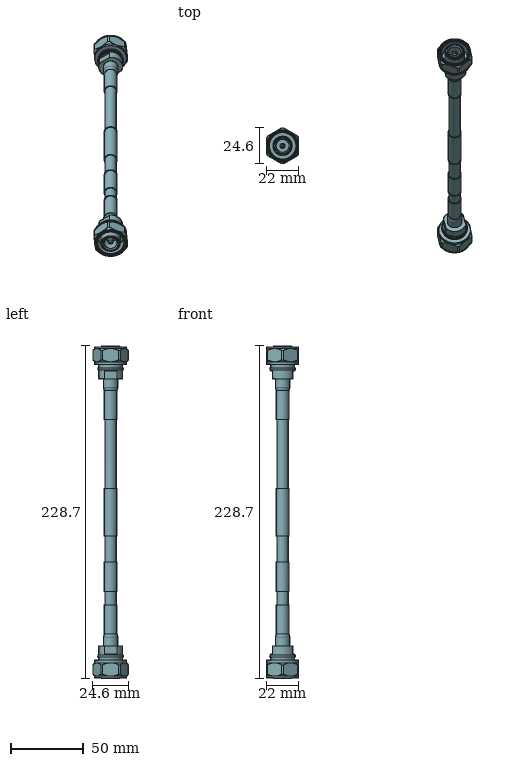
import cadquery as cq
import math

TOTAL_LENGTH = 228.7
HALF_LENGTH = TOTAL_LENGTH / 2

NUT_ACROSS_FLATS = 22.0
CORNER_TRIM = 0.4
NUT_CORNER_DIAMETER = NUT_ACROSS_FLATS / math.cos(math.pi / 6) - 2 * CORNER_TRIM
NUT_FRONT_DEPTH = 0.5
FRONT_BEVEL_DEPTH = 1.5
BACK_BEVEL_DEPTH = 10.7
NUT_BACK_DEPTH = 12.5
BEVEL_WIDTH = (NUT_CORNER_DIAMETER - NUT_ACROSS_FLATS) / 2

SOCKET_DIAMETER = 18.3
SOCKET_DEPTH = 9.1
MOUTH_CHAMFER = 0.5
MOUTH_DIAMETER = 19.7
MOUTH_DEPTH = 1.4

RING_OUTER_DIAMETER = 13.3
RING_INNER_DIAMETER = 9.0
RING_OUTER_CHAMFER = 0.5
RING_INNER_CHAMFER = 1.0
PIN_DIAMETER = 3.5
PIN_TIP_DEPTH = 1.4
PIN_CHAMFER = 1.0

BODY_DIAMETER = 16.5
FLANGE_FRONT_DIAMETER = 17.8
FLANGE_BACK_DIAMETER = 17.4
FLANGE_FRONT_DEPTH = 14.9
FLANGE_BACK_DEPTH = 16.2
FLATS_DEPTH = 17.0
BODY_ACROSS_FLATS = 14.0
BODY_BACK_DEPTH = 22.5

FERRULE_DIAMETER = 10.0
TAPER_DEPTH = 28.5
BOOT_DEPTH = 30.6
BOOT_BACK_DEPTH = 50.5

CABLE_DIAMETER = 8.0
SLEEVE_DIAMETER = 9.0
LABEL_LENGTH = 32.5
MARKER_TOP = -34.0
MARKER_LENGTH = 20.5


def cylinder(diameter, bottom, top):
    """Cylinder on the Z axis between two heights."""
    return cq.Workplane("XY", origin=(0, 0, bottom)).circle(diameter / 2).extrude(top - bottom)


def height(depth):
    """Height of a point that lies the given depth below the tip of the upper connector."""
    return HALF_LENGTH - depth


def turned(stations):
    """Solid of revolution about Z through (diameter, depth) stations."""
    outline = [(diameter / 2, height(depth)) for diameter, depth in stations]
    axis_ends = [(0, outline[-1][1]), (0, outline[0][1])]
    return cq.Workplane("XZ").polyline(outline + axis_ends).close().revolve(360, (0, 0), (0, 1))


def coupling_nut():
    """Hexagon with a corner on the Y axis, bevelled at both ends to a round collar."""
    envelope = turned([
        (NUT_ACROSS_FLATS, NUT_FRONT_DEPTH),
        (NUT_ACROSS_FLATS, FRONT_BEVEL_DEPTH),
        (NUT_CORNER_DIAMETER, FRONT_BEVEL_DEPTH + BEVEL_WIDTH),
        (NUT_CORNER_DIAMETER, BACK_BEVEL_DEPTH - BEVEL_WIDTH),
        (NUT_ACROSS_FLATS, BACK_BEVEL_DEPTH),
        (NUT_ACROSS_FLATS, NUT_BACK_DEPTH),
    ])
    hexagon = (
        cq.Workplane("XY", origin=(0, 0, height(NUT_BACK_DEPTH)))
        .polygon(6, NUT_ACROSS_FLATS / math.cos(math.pi / 6))
        .extrude(NUT_BACK_DEPTH - NUT_FRONT_DEPTH)
        .rotate((0, 0, 0), (0, 0, 1), 90)
    )
    return envelope.intersect(hexagon)


def socket():
    """Space inside the nut, with a wider, chamfered mouth."""
    return turned([
        (MOUTH_DIAMETER + 2 * MOUTH_CHAMFER, NUT_FRONT_DEPTH),
        (MOUTH_DIAMETER, NUT_FRONT_DEPTH + MOUTH_CHAMFER),
        (MOUTH_DIAMETER, MOUTH_DEPTH),
        (SOCKET_DIAMETER, MOUTH_DEPTH),
        (SOCKET_DIAMETER, SOCKET_DEPTH),
    ])


def contact_ring():
    """Hollow contact with its tip bevelled inside and outside."""
    ring = turned([
        (RING_OUTER_DIAMETER - 2 * RING_OUTER_CHAMFER, 0),
        (RING_OUTER_DIAMETER, RING_OUTER_CHAMFER),
        (RING_OUTER_DIAMETER, SOCKET_DEPTH),
    ])
    bore = turned([
        (RING_INNER_DIAMETER + 2 * RING_INNER_CHAMFER, 0),
        (RING_INNER_DIAMETER, RING_INNER_CHAMFER),
        (RING_INNER_DIAMETER, SOCKET_DEPTH),
    ])
    return ring.cut(bore)


def centre_pin():
    """Pin with a bevelled tip, set back from the tip of the contact ring."""
    pin = cylinder(PIN_DIAMETER, height(SOCKET_DEPTH), height(PIN_TIP_DEPTH))
    return pin.faces(">Z").chamfer(PIN_CHAMFER)


def body_with_flats():
    """Flanged round body with two flats facing -X and +X."""
    body = turned([
        (BODY_DIAMETER, NUT_BACK_DEPTH),
        (BODY_DIAMETER, FLANGE_FRONT_DEPTH),
        (FLANGE_FRONT_DIAMETER, FLANGE_FRONT_DEPTH),
        (FLANGE_BACK_DIAMETER, FLANGE_BACK_DEPTH),
        (BODY_DIAMETER, FLANGE_BACK_DEPTH),
        (BODY_DIAMETER, BODY_BACK_DEPTH),
    ])
    outside_flats = (
        cq.Workplane("XY", origin=(0, 0, height(BODY_BACK_DEPTH)))
        .rect(2 * BODY_DIAMETER, 2 * BODY_DIAMETER)
        .rect(BODY_ACROSS_FLATS, 2 * BODY_DIAMETER)
        .extrude(BODY_BACK_DEPTH - FLATS_DEPTH)
    )
    return body.cut(outside_flats)


def ferrule_and_boot():
    """Ferrule tapering down to the boot, bored to take the end of the cable."""
    tube = turned([
        (FERRULE_DIAMETER, BODY_BACK_DEPTH),
        (FERRULE_DIAMETER, TAPER_DEPTH),
        (SLEEVE_DIAMETER, BOOT_DEPTH),
        (SLEEVE_DIAMETER, BOOT_BACK_DEPTH),
    ])
    return tube.cut(cylinder(CABLE_DIAMETER, height(BOOT_BACK_DEPTH), height(BOOT_DEPTH)))


def upper_connector():
    """Whole connector at the +Z end, its nut, contacts, body and boot being one solid."""
    return (
        coupling_nut()
        .cut(socket())
        .union(contact_ring())
        .union(centre_pin())
        .union(body_with_flats())
        .union(ferrule_and_boot())
    )


def sleeve(bottom, top):
    """Tube fitted around the cable."""
    return cylinder(SLEEVE_DIAMETER, bottom, top).cut(cylinder(CABLE_DIAMETER, bottom, top))


connectors = [upper_connector().rotate((0, 0, 0), (1, 0, 0), turn) for turn in (0, 180)]

cable = cylinder(CABLE_DIAMETER, -height(BOOT_DEPTH), height(BOOT_DEPTH))

label_sleeve = sleeve(-LABEL_LENGTH / 2, LABEL_LENGTH / 2)
marker_sleeve = sleeve(MARKER_TOP - MARKER_LENGTH, MARKER_TOP)

result = cq.Compound.makeCompound([
    *[connector.val() for connector in connectors],
    cable.val(),
    label_sleeve.val(),
    marker_sleeve.val(),
])